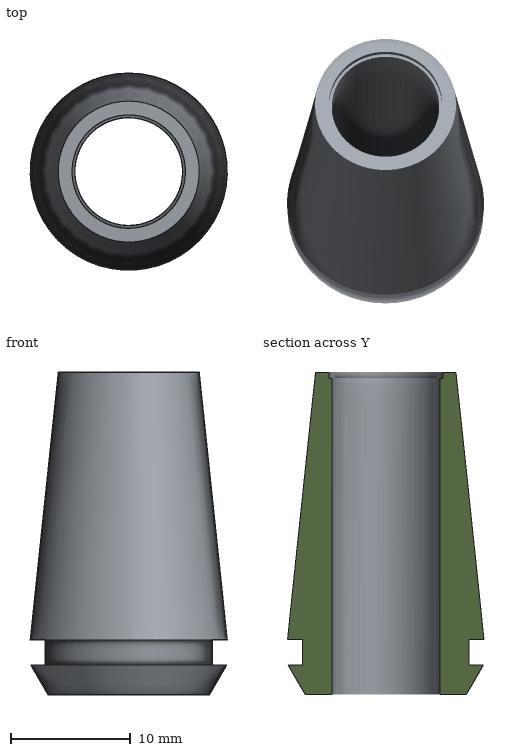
import cadquery as cq

overall_length = 27.0
head_height = 2.5
groove_width = 2.1

large_diameter = 16.5
head_rim_diameter = 16.4
head_end_diameter = 13.5
groove_diameter = 14.0
small_end_diameter = 11.8

bore_diameter = 9.0
mouth_diameter = 9.5
mouth_depth = 0.5

groove_top = head_height + groove_width


def collet_body():
    """Revolve the outside profile: clamping head, groove and long taper."""
    return (
        cq.Workplane("YZ")
        .moveTo(0, 0)
        .lineTo(head_end_diameter / 2, 0)
        .lineTo(head_rim_diameter / 2, head_height)
        .lineTo(groove_diameter / 2, head_height)
        .lineTo(groove_diameter / 2, groove_top)
        .lineTo(large_diameter / 2, groove_top)
        .lineTo(small_end_diameter / 2, overall_length)
        .lineTo(0, overall_length)
        .close()
        .revolve(360, (0, 0, 0), (0, 1, 0))
    )


def bore():
    """Through bore with a shallow, wider recess at the small end."""
    through_hole = cq.Workplane("XY").circle(bore_diameter / 2).extrude(overall_length)
    mouth = (
        cq.Workplane("XY", origin=(0, 0, overall_length - mouth_depth))
        .circle(mouth_diameter / 2)
        .extrude(mouth_depth)
    )
    return through_hole.union(mouth)


result = collet_body().cut(bore())